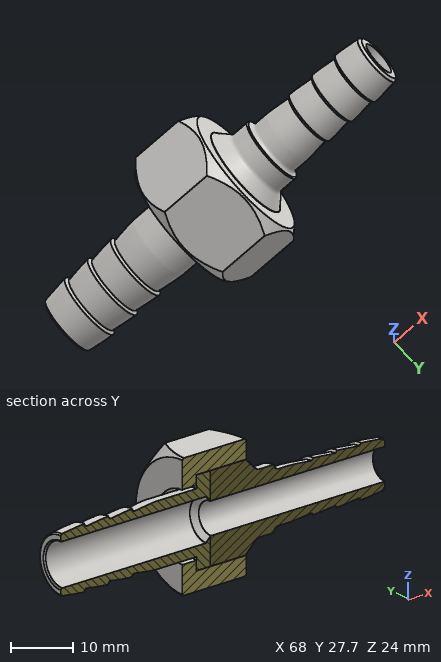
import cadquery as cq
import math

TOTAL_LENGTH = 68.0
BARB_PITCH = 5.0
BARB_COUNT = 4
BARB_BULGE = 0.1
BARB_STEP_LENGTH = 0.4

NUT_START = 25.5
NUT_LENGTH = 13.5
NUT_ACROSS_FLATS = 24.0
NUT_FACE_DIAMETER = 23.4
NUT_CHAMFER_ANGLE = 45.0
NUT_LIP_THICKNESS = 3.0
NUT_LIP_HOLE_DIAMETER = 13.0
NUT_BORE_DIAMETER = 16.6

LARGE_DIAMETER = 12.0
LARGE_ROOT_DIAMETER = 10.9
LARGE_TIP_DIAMETER = 10.9
LARGE_BORE_DIAMETER = 8.0
LARGE_TIP_CHAMFER = 0.3
LARGE_BORE_CHAMFER = 0.3
FLANGE_THICKNESS = 3.0
BORE_TAPER_LENGTH = 1.0

SMALL_DIAMETER = 10.0
SMALL_ROOT_DIAMETER = 9.2
SMALL_BORE_DIAMETER = 6.0
SMALL_TIP_DIAMETER = 9.2
SMALL_TIP_CHAMFER = 0.5
COLLAR_DIAMETER = 12.0
COLLAR_END = 44.7
COLLAR_CHAMFER = 0.2
CONE_START = 38.95
CONE_FILLET = 1.0

barbs_length = BARB_COUNT * BARB_PITCH
nut_end = NUT_START + NUT_LENGTH
flange_start = NUT_START + NUT_LIP_THICKNESS
joint = flange_start + FLANGE_THICKNESS


def cylinder(diameter, start, end):
    """Cylinder on the X axis between two X positions."""
    return cq.Workplane("YZ", origin=(start, 0, 0)).circle(diameter / 2).extrude(end - start)


def revolve_outline(points):
    """Solid of revolution about X from (axial, radial) points."""
    return cq.Workplane("XY").polyline(points).close().revolve(360, (0, 0, 0), (1, 0, 0))


def make_barbs(crest_diameter, root_diameter, tip_diameter, tip_chamfer):
    """Solid barbed end with its tip at X = 0, widening toward +X in convex barbs."""
    crest = crest_diameter / 2
    root = root_diameter / 2
    tip = tip_diameter / 2
    outline = cq.Workplane("XY").lineTo(0, tip - tip_chamfer).lineTo(tip_chamfer, tip)
    start = tip_chamfer
    start_radius = tip
    for barb in range(1, BARB_COUNT + 1):
        end = barb * BARB_PITCH
        middle = ((start + end) / 2, (start_radius + crest) / 2 + BARB_BULGE)
        outline = outline.threePointArc(middle, (end, crest))
        if barb < BARB_COUNT:
            start = end + BARB_STEP_LENGTH
            start_radius = root
            outline = outline.lineTo(start, start_radius)
    return outline.lineTo(barbs_length, 0).close().revolve(360, (0, 0, 0), (1, 0, 0))


def make_nut():
    """Hexagonal union nut with both ends chamfered and an inward lip on the large-tail side."""
    across_corners = NUT_ACROSS_FLATS / math.cos(math.radians(30))
    hexagon = (
        cq.Workplane("YZ", origin=(NUT_START, 0, 0))
        .polygon(6, across_corners)
        .extrude(NUT_LENGTH)
    )
    corner = across_corners / 2
    face = NUT_FACE_DIAMETER / 2
    chamfer_length = (corner - face) / math.tan(math.radians(NUT_CHAMFER_ANGLE))
    envelope = revolve_outline([
        (NUT_START, 0),
        (NUT_START, face),
        (NUT_START + chamfer_length, corner),
        (nut_end - chamfer_length, corner),
        (nut_end, face),
        (nut_end, 0),
    ])
    lip_hole = cylinder(NUT_LIP_HOLE_DIAMETER, NUT_START, flange_start)
    bore = cylinder(NUT_BORE_DIAMETER, flange_start, nut_end)
    return hexagon.intersect(envelope).cut(lip_hole).cut(bore)


def make_large_tail():
    """Large hose tail whose flange is held behind the nut lip."""
    barbs = make_barbs(LARGE_DIAMETER, LARGE_ROOT_DIAMETER, LARGE_TIP_DIAMETER, LARGE_TIP_CHAMFER)
    shank = cylinder(LARGE_DIAMETER, barbs_length, flange_start)
    flange = cylinder(NUT_BORE_DIAMETER, flange_start, joint)
    body = barbs.union(shank).union(flange)
    taper_start = joint - BORE_TAPER_LENGTH
    bore = revolve_outline([
        (0, 0),
        (0, LARGE_BORE_DIAMETER / 2 + LARGE_BORE_CHAMFER),
        (LARGE_BORE_CHAMFER, LARGE_BORE_DIAMETER / 2),
        (taper_start, LARGE_BORE_DIAMETER / 2),
        (joint, SMALL_BORE_DIAMETER / 2),
        (joint, 0),
    ])
    return body.cut(bore)


def make_small_tail():
    """Small hose tail with a plug filling the nut bore, a 45 degree cone and a collar."""
    barbs = make_barbs(SMALL_DIAMETER, SMALL_ROOT_DIAMETER, SMALL_TIP_DIAMETER, SMALL_TIP_CHAMFER)
    barbs = barbs.mirror("YZ").translate((TOTAL_LENGTH, 0, 0))
    plug = NUT_BORE_DIAMETER / 2
    collar = COLLAR_DIAMETER / 2
    shank = SMALL_DIAMETER / 2

    cone_end = CONE_START + plug - collar
    tangent = CONE_FILLET * math.tan(math.radians(22.5))
    tangent_on_cone = tangent * math.cos(math.radians(45))
    fillet_start = (cone_end - tangent_on_cone, collar + tangent_on_cone)
    fillet_end = (cone_end + tangent, collar)
    fillet_center = (cone_end + tangent, collar + CONE_FILLET)
    middle_angle = math.radians(247.5)
    fillet_middle = (
        fillet_center[0] + CONE_FILLET * math.cos(middle_angle),
        fillet_center[1] + CONE_FILLET * math.sin(middle_angle),
    )

    neck_start = COLLAR_END + COLLAR_CHAMFER
    neck_radius = collar - COLLAR_CHAMFER - shank
    neck_offset = neck_radius * (1 - math.cos(math.radians(45)))
    neck_middle = (neck_start + neck_offset, shank + neck_offset)

    outline = (
        cq.Workplane("XY")
        .moveTo(joint, 0)
        .lineTo(joint, plug)
        .lineTo(CONE_START, plug)
        .lineTo(*fillet_start)
        .threePointArc(fillet_middle, fillet_end)
        .lineTo(COLLAR_END, collar)
        .lineTo(neck_start, collar - COLLAR_CHAMFER)
        .threePointArc(neck_middle, (neck_start + neck_radius, shank))
    )
    shank_end = TOTAL_LENGTH - barbs_length
    plug_and_shank = (
        outline.lineTo(shank_end, shank)
        .lineTo(shank_end, 0)
        .close()
        .revolve(360, (0, 0, 0), (1, 0, 0))
    )
    body = plug_and_shank.union(barbs)
    return body.cut(cylinder(SMALL_BORE_DIAMETER, joint, TOTAL_LENGTH))


nut = make_nut()
large_tail = make_large_tail()
small_tail = make_small_tail()

result = cq.Compound.makeCompound([nut.val(), large_tail.val(), small_tail.val()])